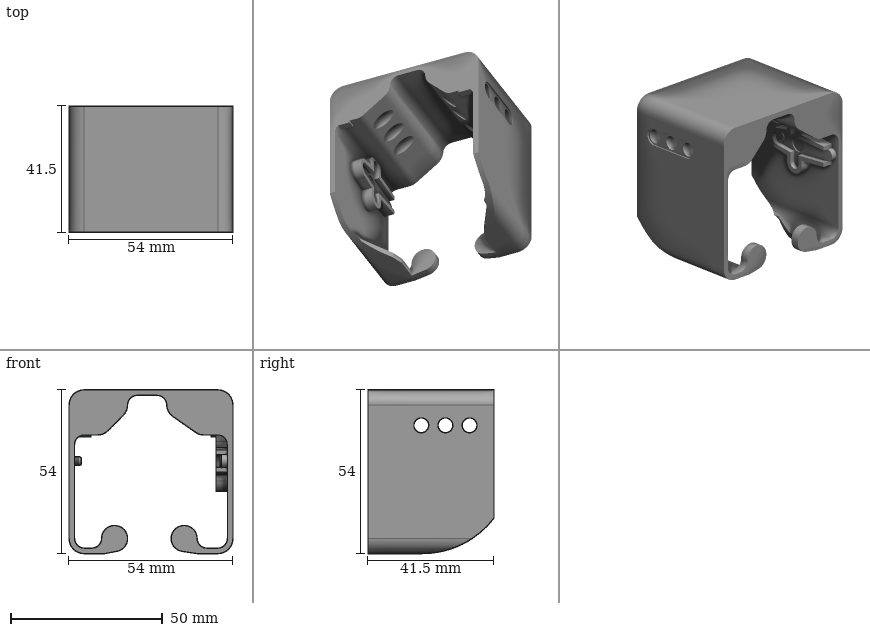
import cadquery as cq
import math

SIZE = 54.0
LENGTH = 41.5
WALL = 1.9
OUTER_RADIUS = 5.0
INNER_RADIUS = OUTER_RADIUS - WALL
HALF = SIZE / 2
INNER = HALF - WALL
FRONT = -LENGTH / 2
BACK = LENGTH / 2

CEILING = 12.1
CHANNEL_LEFT = -7.65
CHANNEL_RIGHT = 5.15
SHOULDER_TOP_RADIUS = 5.0
SHOULDER_FOOT_RADIUS = 4.3
LEFT_SHOULDER_TOP = 20.05
LEFT_SHOULDER_FOOT = -15.6
RIGHT_SHOULDER_TOP = 19.6
RIGHT_SHOULDER_FOOT = 15.95

BEAD_RADIUS = 4.3
BEAD_HEIGHT = -INNER + INNER_RADIUS
BEAD_LEFT = -12.0
BEAD_RIGHT = 10.9
BEAD_LENGTH = 3.0
LIP_RAMP_START = 15.25
LIP_EDGE = 15.25
LIP_STRAIGHT_END = -10.0
LIP_BEND_X = 16.5
LIP_BEND_Y = -5.95
LIP_FLARE_X = 22.95
LIP_FLARE_Y = 5.55

CORNER_RADIUS = 30.0
CORNER_START = -3.0

HOLE_DIAMETER = 4.8
HOLE_SPACING = 7.95
HOLE_ROW_CENTRE = 4.75
HOLE_HEIGHT = 15.3
RECESS_WIDTH = 6.0
RECESS_DEPTH = 0.5

TRACK_HEIGHT = 3.7
TRACK_Z = 3.5
POCKET_DEPTH = 1.8
LOBE_Y = -3.6
LOBE_RADIUS = 3.5
LOBE_POCKET_RADIUS = 1.9
LOBE_RISE = 6.5
RIB_THICKNESS = 1.45
ARM_FRONT = -17.6
ARM_BACK = 4.75
ARM_END_HALF_WIDTH = 3.6
ARM_MID_HALF_WIDTH = 4.55
SEAT_RADIUS = 2.8
SEAT_DEPTH = 0.5
STUD_RADIUS = 1.9
STUD_HEIGHT = 0.5

PIN_RADIUS = 1.5
PIN_TIP_RADIUS = 1.0
PIN_HEIGHT = 2.2
PIN_STRAIGHT = 1.2

STOP_DROP = 0.7
STOP_EDGE = 19.8
STOP_SLOPE = 0.55
STOP_LENGTH = 3.0


def prism_xz(points, y_start, y_end):
    """Polygon in XZ extruded between two Y positions."""
    plane = cq.Workplane("XZ", origin=(0, y_start, 0))
    return plane.polyline(points).close().extrude(y_start - y_end)


def round_edges(solid, corners, radius):
    """Fillet the Y-parallel edges that run through the given XZ corners."""
    for x, z in corners:
        box = cq.selectors.BoxSelector((x - 0.1, -LENGTH, z - 0.1), (x + 0.1, LENGTH, z + 0.1))
        solid = solid.edges(box).fillet(radius)
    return solid


def block(x_range, y_range, z_range):
    """Axis-aligned box from its limits."""
    (x0, x1), (y0, y1), (z0, z1) = x_range, y_range, z_range
    return cq.Workplane("XY").box(x1 - x0, y1 - y0, z1 - z0, centered=False).translate((x0, y0, z0))


def disc_x(x_range, y, z, radius):
    """Cylinder along X between two X positions."""
    x0, x1 = x_range
    return cq.Workplane("YZ", origin=(x0, y, z)).circle(radius).extrude(x1 - x0)


def make_shell():
    shell = cq.Workplane("XY").box(SIZE, LENGTH, SIZE).edges("|Y").fillet(OUTER_RADIUS)

    channel_corners = [(CHANNEL_LEFT, INNER), (CHANNEL_RIGHT, INNER)]
    shoulder_tops = [(CHANNEL_LEFT, LEFT_SHOULDER_TOP), (CHANNEL_RIGHT, RIGHT_SHOULDER_TOP)]
    shoulder_feet = [(LEFT_SHOULDER_FOOT, CEILING), (RIGHT_SHOULDER_FOOT, CEILING)]
    side_corners = [(x, z) for x in (-INNER, INNER) for z in (CEILING, -INNER)]
    outline = [
        (-INNER, -INNER), (-INNER, CEILING), shoulder_feet[0], shoulder_tops[0], channel_corners[0],
        channel_corners[1], shoulder_tops[1], shoulder_feet[1], (INNER, CEILING), (INNER, -INNER),
    ]
    cavity = prism_xz(outline, FRONT, BACK)
    cavity = round_edges(cavity, shoulder_tops, SHOULDER_TOP_RADIUS)
    cavity = round_edges(cavity, shoulder_feet, SHOULDER_FOOT_RADIUS)
    cavity = round_edges(cavity, channel_corners + side_corners, INNER_RADIUS)
    return shell.cut(cavity)


def make_lip_opening():
    """Opening between the lips: narrow at the front, flaring towards the back."""
    right_edge = [
        (LIP_EDGE, FRONT), (LIP_EDGE, LIP_STRAIGHT_END), (LIP_BEND_X, LIP_BEND_Y),
        (LIP_FLARE_X, LIP_FLARE_Y), (LIP_FLARE_X, BACK),
    ]
    left_edge = [(-x, y) for x, y in reversed(right_edge)]
    plane = cq.Workplane("XY", origin=(0, 0, -HALF))
    return plane.polyline(right_edge + left_edge).close().extrude(2 * WALL)


def make_bead(centre_x):
    """Round bead with a concave fillet to the lip floor and a sloped underside."""
    side = math.copysign(1, centre_x)
    offset = abs(centre_x)
    floor_x = offset + BEAD_RADIUS + INNER_RADIUS
    reach_x = LIP_RAMP_START - offset
    reach_z = BEAD_HEIGHT + HALF
    distance = math.hypot(reach_x, reach_z)
    angle = math.atan2(-reach_z, reach_x) - math.acos(BEAD_RADIUS / distance)
    tangent = (offset + BEAD_RADIUS * math.cos(angle), BEAD_HEIGHT + BEAD_RADIUS * math.sin(angle))
    diagonal = INNER_RADIUS * math.sqrt(0.5)

    def at(x, z):
        return (side * x, z)

    return (
        cq.Workplane("XZ", origin=(0, FRONT, 0))
        .moveTo(*at(floor_x, -HALF))
        .lineTo(*at(floor_x, -INNER))
        .threePointArc(at(floor_x - diagonal, BEAD_HEIGHT - diagonal), at(offset + BEAD_RADIUS, BEAD_HEIGHT))
        .threePointArc(at(offset - BEAD_RADIUS, BEAD_HEIGHT), at(*tangent))
        .lineTo(*at(LIP_RAMP_START, -HALF))
        .close()
        .extrude(-BEAD_LENGTH)
    )


def make_back_corner():
    """Material removed below the large arc at the lower back corner."""
    centre_z = CORNER_RADIUS - HALF
    corner = block((-HALF, HALF), (CORNER_START, BACK), (-HALF, centre_z))
    return corner.cut(disc_x((-HALF, HALF), CORNER_START, centre_z, CORNER_RADIUS))


def make_holes():
    """Three cross holes through both sides and the recess around them on the left face."""
    ends = [(HOLE_ROW_CENTRE + step * HOLE_SPACING, HOLE_HEIGHT) for step in (-1, 0, 1)]
    holes = cq.Workplane("YZ", origin=(-HALF, 0, 0)).pushPoints(ends).circle(HOLE_DIAMETER / 2).extrude(SIZE)
    recess = (
        cq.Workplane("YZ", origin=(-HALF, HOLE_ROW_CENTRE, HOLE_HEIGHT))
        .slot2D(2 * HOLE_SPACING + RECESS_WIDTH, RECESS_WIDTH)
        .extrude(RECESS_DEPTH)
    )
    return holes.union(recess)


def lobes(x_range, radius):
    """Upright stadium prism along X, centred on the track."""
    low, high = TRACK_Z - LOBE_RISE, TRACK_Z + LOBE_RISE
    bar = block(x_range, (LOBE_Y - radius, LOBE_Y + radius), (low, high))
    return bar.union(disc_x(x_range, LOBE_Y, low, radius)).union(disc_x(x_range, LOBE_Y, high, radius))


def arm(x_range, y_lobe_sides, end_half_width, mid_half_width):
    """Prism along X, widest between the lobe sides, narrowing to the front and to a round back end."""
    upper = [
        (ARM_FRONT, end_half_width), (y_lobe_sides[0], mid_half_width),
        (y_lobe_sides[1], mid_half_width), (ARM_BACK, end_half_width),
    ]
    lower = [(y, -z) for y, z in reversed(upper)]
    x0, x1 = x_range
    plane = cq.Workplane("YZ", origin=(x0, 0, TRACK_Z))
    prism = plane.polyline(upper + lower).close().extrude(x1 - x0)
    return prism.union(disc_x(x_range, ARM_BACK, TRACK_Z, end_half_width))


def make_track():
    face = INNER - TRACK_HEIGHT
    floor = face + POCKET_DEPTH
    root = INNER + WALL / 2
    slot_half_width = ARM_END_HALF_WIDTH - RIB_THICKNESS

    body = lobes((face, root), LOBE_RADIUS)
    body_sides = (LOBE_Y - LOBE_RADIUS, LOBE_Y + LOBE_RADIUS)
    body = body.union(arm((face, root), body_sides, ARM_END_HALF_WIDTH, ARM_MID_HALF_WIDTH))

    pocket = lobes((face, floor), LOBE_POCKET_RADIUS)
    pocket_sides = (LOBE_Y - LOBE_POCKET_RADIUS, LOBE_Y + LOBE_POCKET_RADIUS)
    pocket = pocket.union(
        arm((face, floor), pocket_sides, slot_half_width, ARM_MID_HALF_WIDTH - RIB_THICKNESS))
    seat = disc_x((floor, floor + SEAT_DEPTH), LOBE_Y, TRACK_Z, SEAT_RADIUS)

    tongue = disc_x((floor, root), ARM_FRONT, TRACK_Z, slot_half_width)
    stud = disc_x((floor - STUD_HEIGHT, root), ARM_BACK, TRACK_Z, STUD_RADIUS)
    return body.cut(pocket).union(tongue).union(stud).cut(seat)


def make_pin():
    """Pin with a rounded tip, pointing in from the left wall."""
    drop = PIN_RADIUS - PIN_TIP_RADIUS
    return (
        cq.Workplane("XY", origin=(-INNER, LOBE_Y, TRACK_Z))
        .moveTo(-WALL / 2, 0)
        .lineTo(-WALL / 2, PIN_RADIUS)
        .lineTo(PIN_STRAIGHT, PIN_RADIUS)
        .tangentArcPoint((PIN_HEIGHT - PIN_STRAIGHT, -drop))
        .lineTo(PIN_HEIGHT, 0)
        .close()
        .revolve(360, (0, 0, 0), (1, 0, 0))
    )


def make_stop(side):
    """Rib under the ceiling at the back, with a sloped front."""
    width = INNER + WALL / 2 - STOP_EDGE
    start = BACK - STOP_LENGTH
    profile = [
        (start, CEILING + WALL), (start, CEILING), (start + STOP_SLOPE, CEILING - STOP_DROP),
        (BACK, CEILING - STOP_DROP), (BACK, CEILING + WALL),
    ]
    origin_x = STOP_EDGE if side > 0 else -STOP_EDGE - width
    return cq.Workplane("YZ", origin=(origin_x, 0, 0)).polyline(profile).close().extrude(width)


result = make_shell().cut(make_lip_opening())
for bead_x in (BEAD_LEFT, BEAD_RIGHT):
    result = result.union(make_bead(bead_x))
for stop_side in (-1, 1):
    result = result.union(make_stop(stop_side))
result = result.union(make_track()).union(make_pin())
result = result.cut(make_back_corner()).cut(make_holes())